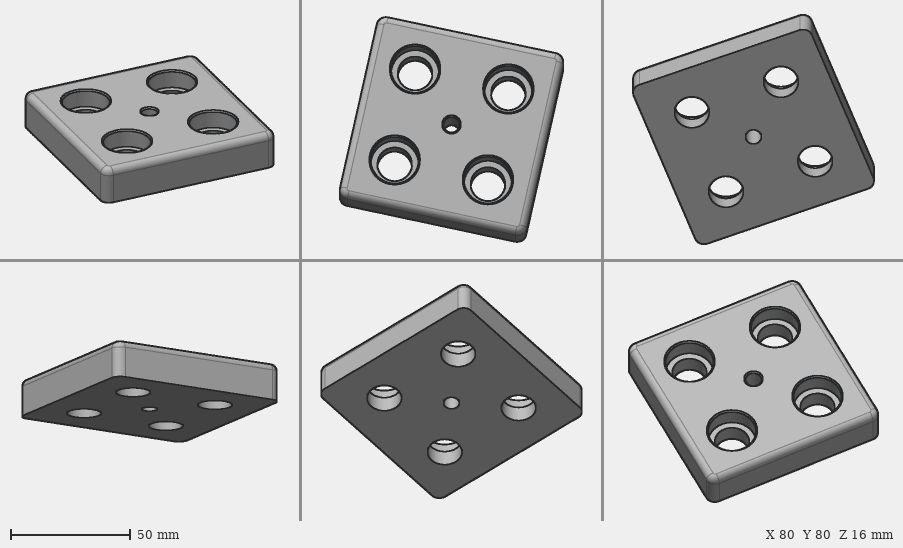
import cadquery as cq

side = 80.0
thickness = 16.0
corner_radius = 4.0
top_edge_radius = 3.0

bolt_spacing = 40.0
bolt_hole_diameter = 14.5
counterbore_diameter = 20.0
counterbore_depth = 8.0
counterbore_chamfer = 0.6

center_hole_diameter = 6.6
center_hole_chamfer = 0.6


def make_plate():
    """Square plate with rounded corners and a rounded top edge, resting on Z = 0."""
    plate = cq.Workplane("XY").box(side, side, thickness, centered=(True, True, False))
    plate = plate.edges("|Z").fillet(corner_radius)
    return plate.faces(">Z").edges().fillet(top_edge_radius)


def bore(diameter, depth):
    """Cylindrical cutter going down from the top face."""
    return cq.Workplane("XY").workplane(offset=thickness).circle(diameter / 2).extrude(-depth)


def mouth_chamfer(diameter, size):
    """45 degree conical cutter that widens a bore at the top face."""
    mouth_radius = diameter / 2 + size
    cutter = cq.Workplane("XY").workplane(offset=thickness).circle(mouth_radius)
    return cutter.extrude(-size, taper=45)


def bolt_hole():
    """Through hole with a chamfered counterbore, centred on the Z axis."""
    hole = bore(bolt_hole_diameter, thickness)
    hole = hole.union(bore(counterbore_diameter, counterbore_depth))
    return hole.union(mouth_chamfer(counterbore_diameter, counterbore_chamfer))


def center_hole():
    """Through hole with a chamfered mouth."""
    hole = bore(center_hole_diameter, thickness)
    return hole.union(mouth_chamfer(center_hole_diameter, center_hole_chamfer))


result = make_plate().cut(center_hole())
for x_side in (-1, 1):
    for y_side in (-1, 1):
        position = (x_side * bolt_spacing / 2, y_side * bolt_spacing / 2, 0)
        result = result.cut(bolt_hole().translate(position))